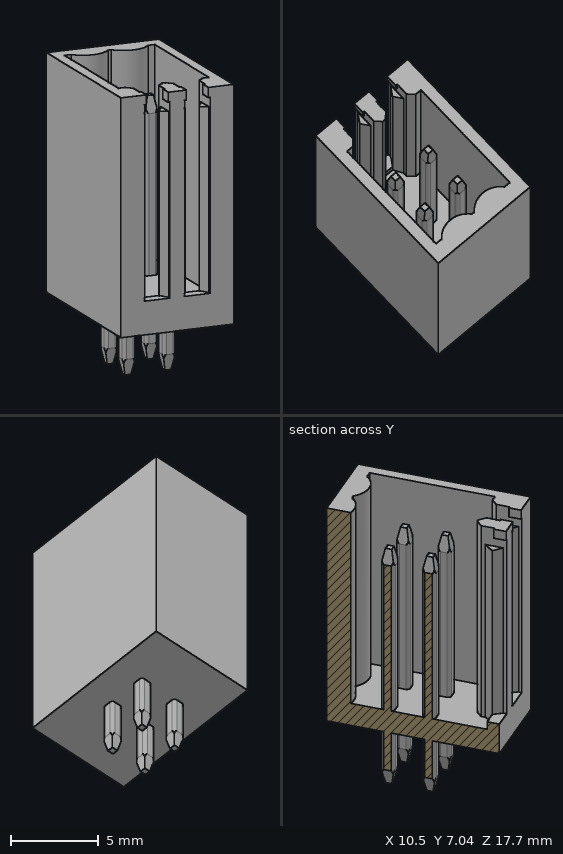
import cadquery as cq

BODY_X = 10.5
BODY_Y = 7.04
BODY_Z = 14.2

LEFT_WALL = 0.98
RIGHT_WALL = 1.92
SIDE_WALL = 0.7
FLOOR_Z = 1.5
CAVITY_LEFT = -BODY_X / 2 + LEFT_WALL
CAVITY_RIGHT = BODY_X / 2 - RIGHT_WALL
CAVITY_Y = BODY_Y - 2 * SIDE_WALL

PITCH = 2.5
GRID_CENTER_X = -0.31
COLUMNS_X = [GRID_CENTER_X - PITCH / 2, GRID_CENTER_X + PITCH / 2]
ROWS_Y = [-PITCH / 2, PITCH / 2]

BULGE_HALF_WIDTH = 1.15
BULGE_HEIGHT = 0.55

SLOT_HALF_WIDTH = 0.79
MOUTH_CHAMFER = 0.37
LIP_X = 4.5
LIP_STEP = 0.11
LIP_HEIGHT = 0.6
SILL_HEIGHT = 0.5

RIB_HALF_WIDTH = 0.55
RIB_HEIGHT = 0.35
RIB_TOP_Z = BODY_Z - 1.2
RIB_TOP_DROP = 0.1

PIN_WIDTH = 0.8
PIN_CORNER_RADIUS = 0.2
PIN_TIP_WIDTH = 0.38
PIN_TAPER = 1.0
PIN_BOTTOM_Z = -3.5
PIN_TOP_Z = BODY_Z - 2.08


def block(x_min, x_max, y_center, y_size, z_min, z_max):
    """Box between the given X and Z limits, centred on y_center."""
    return (
        cq.Workplane("XY", origin=((x_min + x_max) / 2, y_center, z_min))
        .rect(x_max - x_min, y_size)
        .extrude(z_max - z_min)
    )


def make_bulge(row_y):
    """Full-height rounded bulge standing on the left cavity wall."""
    return (
        cq.Workplane("XY")
        .moveTo(CAVITY_LEFT, row_y - BULGE_HALF_WIDTH)
        .threePointArc(
            (CAVITY_LEFT + BULGE_HEIGHT, row_y),
            (CAVITY_LEFT, row_y + BULGE_HALF_WIDTH),
        )
        .lineTo(-BODY_X / 2, row_y + BULGE_HALF_WIDTH)
        .lineTo(-BODY_X / 2, row_y - BULGE_HALF_WIDTH)
        .close()
        .extrude(BODY_Z)
    )


def make_slot(row_y):
    """Space removed by one slot: chamfered mouth, inner part and lipped outer part."""
    slot_width = 2 * SLOT_HALF_WIDTH
    mouth_half_width = SLOT_HALF_WIDTH + MOUTH_CHAMFER
    mouth_end_x = CAVITY_RIGHT + MOUTH_CHAMFER
    lip_z = BODY_Z - LIP_HEIGHT
    mouth = (
        cq.Workplane("XY", origin=(0, row_y, FLOOR_Z))
        .moveTo(CAVITY_RIGHT, -mouth_half_width)
        .lineTo(mouth_end_x, -SLOT_HALF_WIDTH)
        .lineTo(mouth_end_x, SLOT_HALF_WIDTH)
        .lineTo(CAVITY_RIGHT, mouth_half_width)
        .close()
        .extrude(BODY_Z - FLOOR_Z)
    )
    inner = block(mouth_end_x, LIP_X, row_y, slot_width, FLOOR_Z, BODY_Z)
    outer = block(LIP_X, BODY_X / 2, row_y, slot_width, FLOOR_Z + SILL_HEIGHT, lip_z)
    between_lips = block(LIP_X, BODY_X / 2, row_y, slot_width - 2 * LIP_STEP, lip_z, BODY_Z)
    return mouth.union(inner).union(outer).union(between_lips)


def make_rib(row_y, side):
    """Triangular rib on the slot side facing row_y; side is +1 or -1 along Y."""
    wall_y = row_y + side * SLOT_HALF_WIDTH
    crest_y = wall_y - side * RIB_HEIGHT
    prism = (
        cq.Workplane("XY")
        .moveTo(LIP_X - RIB_HALF_WIDTH, wall_y)
        .lineTo(LIP_X, crest_y)
        .lineTo(LIP_X + RIB_HALF_WIDTH, wall_y)
        .close()
        .extrude(RIB_TOP_Z)
    )
    sloped_top = (
        cq.Workplane("YZ", origin=(LIP_X, 0, 0))
        .moveTo(wall_y, 0)
        .lineTo(wall_y, RIB_TOP_Z)
        .lineTo(crest_y, RIB_TOP_Z - RIB_TOP_DROP)
        .lineTo(crest_y, 0)
        .close()
        .extrude(RIB_HALF_WIDTH, both=True)
    )
    return prism.intersect(sloped_top)


def make_tip(base_z, end_z):
    """Square taper from the full pin width to the tip width."""
    return (
        cq.Workplane("XY", origin=(0, 0, base_z))
        .rect(PIN_WIDTH, PIN_WIDTH)
        .workplane(offset=end_z - base_z)
        .rect(PIN_TIP_WIDTH, PIN_TIP_WIDTH)
        .loft(ruled=True)
    )


def make_pin():
    """One pin on the Z axis: a rounded bar trimmed by a taper at each end."""
    bar = (
        cq.Workplane("XY", origin=(0, 0, PIN_BOTTOM_Z))
        .rect(PIN_WIDTH, PIN_WIDTH)
        .extrude(PIN_TOP_Z - PIN_BOTTOM_Z)
        .edges("|Z")
        .fillet(PIN_CORNER_RADIUS)
    )
    lower_z = PIN_BOTTOM_Z + PIN_TAPER
    upper_z = PIN_TOP_Z - PIN_TAPER
    envelope = (
        block(-PIN_WIDTH / 2, PIN_WIDTH / 2, 0, PIN_WIDTH, lower_z, upper_z)
        .union(make_tip(lower_z, PIN_BOTTOM_Z))
        .union(make_tip(upper_z, PIN_TOP_Z))
    )
    return bar.intersect(envelope)


def make_housing():
    """Box with its cavity, and the bulge, slot and ribs of each row."""
    housing = block(-BODY_X / 2, BODY_X / 2, 0, BODY_Y, 0, BODY_Z)
    housing = housing.cut(block(CAVITY_LEFT, CAVITY_RIGHT, 0, CAVITY_Y, FLOOR_Z, BODY_Z))
    for row_y in ROWS_Y:
        housing = housing.union(make_bulge(row_y)).cut(make_slot(row_y))
        for side in (-1, 1):
            housing = housing.union(make_rib(row_y, side))
    return housing


result = make_housing()
pin = make_pin()
for column_x in COLUMNS_X:
    for row_y in ROWS_Y:
        result = result.union(pin.translate((column_x, row_y, 0)))